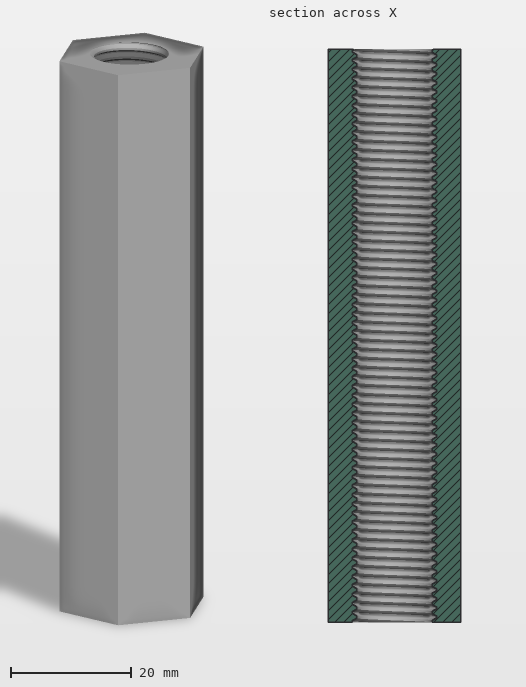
import cadquery as cq
import math

LENGTH = 95.0
ACROSS_FLATS = 22.0
ACROSS_CORNERS = ACROSS_FLATS / math.cos(math.pi / 6)

MAJOR_DIAMETER = 14.0
MAJOR_RADIUS = MAJOR_DIAMETER / 2
PITCH = 1.5
FLANK_ANGLE = math.radians(30)
SHARP_HEIGHT = PITCH / (2 * math.tan(FLANK_ANGLE))
THREAD_DEPTH = SHARP_HEIGHT * 5 / 8
MINOR_RADIUS = MAJOR_RADIUS - THREAD_DEPTH
CREST_FLAT = PITCH / 4
ROOT_FLAT = PITCH / 8
FLANK_RISE = (PITCH - CREST_FLAT - ROOT_FLAT) / 2

FULL_TURN = 360.0
GROOVE_ANGLE_AT_TOP = 180.0
TURNS_BELOW = 2
TURNS_ABOVE = 1
TURNS = math.ceil(LENGTH / PITCH) + TURNS_BELOW + TURNS_ABOVE


def hexagonal_bar():
    return cq.Workplane("XY").polygon(6, ACROSS_CORNERS).extrude(LENGTH)


def helix_turn(radius, height):
    """One turn of a helix that starts on the XZ plane at the given height."""
    return cq.Wire.makeHelix(PITCH, PITCH, radius).translate(cq.Vector(0, 0, height)).Edges()[0]


def helicoid_cap(height):
    """One-turn spiral face between the axis and the minor radius."""
    axis = cq.Edge.makeLine(cq.Vector(0, 0, height), cq.Vector(0, 0, height + PITCH))
    return cq.Face.makeRuledSurface(axis, helix_turn(MINOR_RADIUS, height))


def radial_step(height, profile):
    """Flat face in the XZ plane that closes the one-pitch step at an end of the spiral."""
    outline = [(0, height)]
    outline += [(radius, height + rise) for radius, rise in profile]
    outline += [(0, height + PITCH)]
    points = [cq.Vector(x, 0, z) for x, z in outline]
    return cq.Face.makeFromWires(cq.Wire.makePolygon(points, close=True))


def threaded_core():
    """Solid that fills the threaded hole, bounded by the thread surface of every turn."""
    root_start = CREST_FLAT + FLANK_RISE
    profile = [
        (MINOR_RADIUS, 0),
        (MINOR_RADIUS, CREST_FLAT),
        (MAJOR_RADIUS, root_start),
        (MAJOR_RADIUS, root_start + ROOT_FLAT),
        (MINOR_RADIUS, PITCH),
    ]
    core_top = TURNS * PITCH
    faces = []
    for height in (0, core_top):
        faces.append(helicoid_cap(height))
        faces.append(radial_step(height, profile))
    for turn in range(TURNS):
        base = turn * PITCH
        for (radius, rise), (next_radius, next_rise) in zip(profile, profile[1:]):
            lower_edge = helix_turn(radius, base + rise)
            upper_edge = helix_turn(next_radius, base + next_rise)
            faces.append(cq.Face.makeRuledSurface(lower_edge, upper_edge))
    core = cq.Solid.makeSolid(cq.Shell.makeShell(faces).fix())
    return cq.Workplane(obj=core.fix())


def positioned_core():
    """Threaded core shifted below the bar and turned to the groove angle at the top face."""
    groove_centre = CREST_FLAT + FLANK_RISE + ROOT_FLAT / 2
    start_depth = TURNS_BELOW * PITCH
    angle_at_top = FULL_TURN * (LENGTH + start_depth - groove_centre) / PITCH
    core = threaded_core().translate((0, 0, -start_depth))
    return core.rotate((0, 0, 0), (0, 0, 1), GROOVE_ANGLE_AT_TOP - angle_at_top)


result = hexagonal_bar().cut(positioned_core())